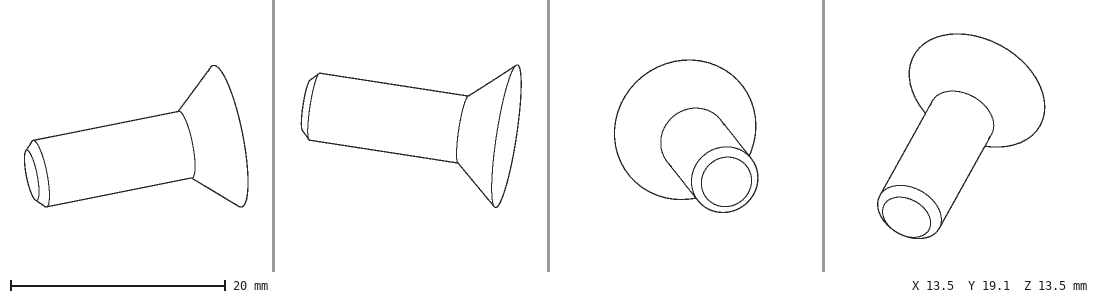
import cadquery as cq

total_length = 19.05
head_diameter = 13.49
head_height = 4.1
shank_diameter = 6.35
tip_chamfer = 0.78

head_radius = head_diameter / 2
shank_radius = shank_diameter / 2
tip_radius = shank_radius - tip_chamfer
head_start = total_length - head_height

half_profile = (
    cq.Workplane("XY")
    .moveTo(0, 0)
    .lineTo(tip_radius, 0)
    .lineTo(shank_radius, tip_chamfer)
    .lineTo(shank_radius, head_start)
    .lineTo(head_radius, total_length)
    .lineTo(0, total_length)
    .close()
)

result = half_profile.revolve(360, (0, 0, 0), (0, 1, 0))